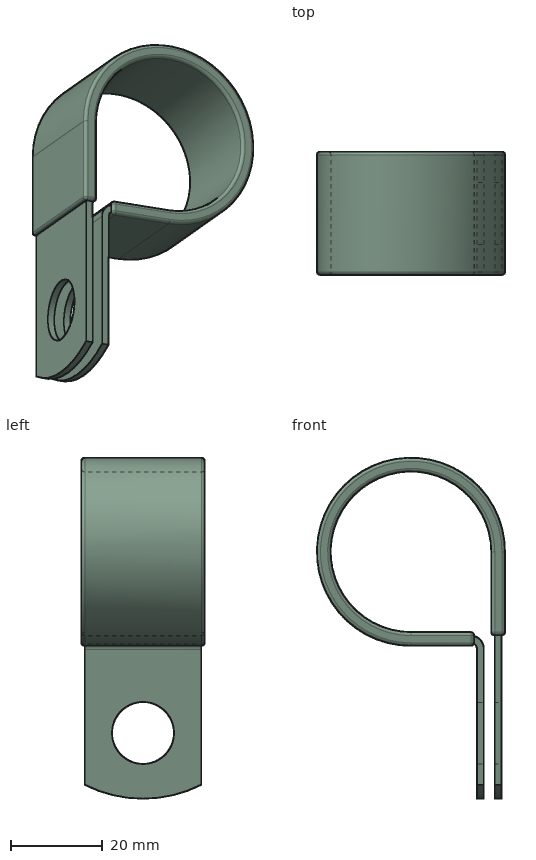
import cadquery as cq
import math

outer_radius = 20.6
cushion_wall = 3.05
cushion_width = 27.0
cushion_cover = 0.75
side_leg_end = -18.25
bottom_leg_end = 13.8

strap_thickness = cushion_wall - 2 * cushion_cover
strap_width = cushion_width - 2 * cushion_cover
strap_outer_radius = outer_radius - cushion_cover
strap_inner_radius = strap_outer_radius - strap_thickness
bent_tab_outer_x = 15.95
bend_outer_radius = 3.0
bend_inner_radius = bend_outer_radius - strap_thickness

overall_height = 74.5
tab_bottom = outer_radius - overall_height
tab_tip_height = 3.05
hole_diameter = 13.5
hole_z = -39.6

DIAGONAL = math.sqrt(0.5)


def loop_band(outer, inner, leg_end_x, leg_end_z, width):
    """Three-quarter ring with a straight leg at each end, centred on Y = 0."""
    return (
        cq.Workplane("XZ")
        .moveTo(outer, leg_end_z)
        .lineTo(outer, 0)
        .threePointArc((-outer * DIAGONAL, outer * DIAGONAL), (0, -outer))
        .lineTo(leg_end_x, -outer)
        .lineTo(leg_end_x, -inner)
        .lineTo(0, -inner)
        .threePointArc((-inner * DIAGONAL, inner * DIAGONAL), (inner, 0))
        .lineTo(inner, leg_end_z)
        .close()
        .extrude(width / 2, both=True)
    )


def make_cushion():
    band = loop_band(
        outer_radius, outer_radius - cushion_wall, bottom_leg_end, side_leg_end, cushion_width
    )
    end_edges = band.faces(">Y or <Y").edges()
    leg_end_edges = band.edges("|Y").filter(
        lambda edge: edge.Center().x > bottom_leg_end - cushion_cover
        and edge.Center().z < side_leg_end + cushion_wall
    )
    return end_edges.add(leg_end_edges).fillet(cushion_cover)


def make_straight_tab():
    """Flat tab whose upper end is embedded in the vertical cushion leg."""
    tab_height = side_leg_end + cushion_wall - tab_bottom
    return (
        cq.Workplane("XY")
        .box(strap_thickness, strap_width, tab_height, centered=(False, True, False))
        .translate((strap_inner_radius, 0, tab_bottom))
    )


def make_bent_tab():
    """Tab that continues the bottom leg and bends down to run beside the straight tab."""
    bend_x = bent_tab_outer_x - bend_outer_radius
    bend_z = -strap_inner_radius - bend_outer_radius
    inner_x = bent_tab_outer_x - strap_thickness
    return (
        cq.Workplane("XZ")
        .moveTo(0, -strap_inner_radius)
        .lineTo(bend_x, -strap_inner_radius)
        .threePointArc(
            (bend_x + bend_outer_radius * DIAGONAL, bend_z + bend_outer_radius * DIAGONAL),
            (bent_tab_outer_x, bend_z),
        )
        .lineTo(bent_tab_outer_x, tab_bottom)
        .lineTo(inner_x, tab_bottom)
        .lineTo(inner_x, bend_z)
        .threePointArc(
            (bend_x + bend_inner_radius * DIAGONAL, bend_z + bend_inner_radius * DIAGONAL),
            (bend_x, -strap_outer_radius),
        )
        .lineTo(0, -strap_outer_radius)
        .close()
        .extrude(strap_width / 2, both=True)
    )


def make_tab_envelope():
    """Block with an arched lower edge and a through hole, shared by both tabs."""
    half_width = strap_width / 2
    corner_z = tab_bottom + tab_tip_height
    return (
        cq.Workplane("YZ")
        .moveTo(-half_width, 0)
        .lineTo(-half_width, corner_z)
        .threePointArc((0, tab_bottom), (half_width, corner_z))
        .lineTo(half_width, 0)
        .close()
        .moveTo(0, hole_z)
        .circle(hole_diameter / 2)
        .extrude(outer_radius)
    )


tabs = make_straight_tab().union(make_bent_tab()).intersect(make_tab_envelope())
result = make_cushion().union(tabs)